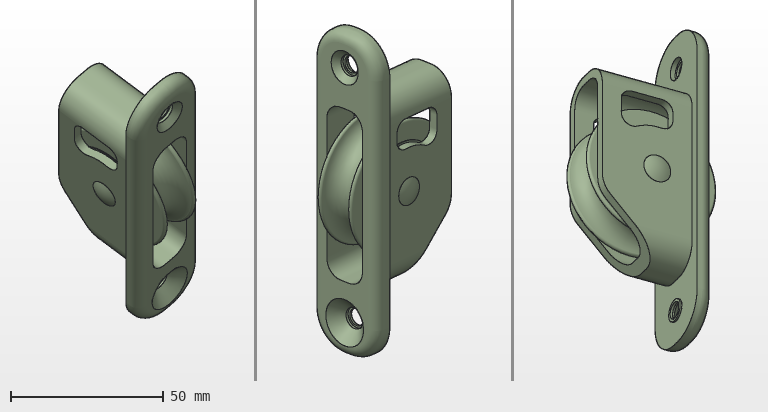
import cadquery as cq


PLATE_HEIGHT = 118.0
PLATE_WIDTH = 29.5
PLATE_THICKNESS = 6.0
PLATE_CORNER_RADIUS = 13.5
PLATE_FRONT_RADIUS = 4.0
PLATE_BACK_X = 13.0
PLATE_FRONT_X = PLATE_BACK_X + PLATE_THICKNESS

SCREW_Z = 46.5
SCREW_DIAMETER = 6.0
COLLAR_DIAMETER = 8.0
SOCKET_DEPTH = 1.8
COLLAR_HEIGHT = 0.6
SCREW_BORE_LENGTH = 0.9
RELIEF_DIAMETER = 7.5
RELIEF_LENGTH = 1.0

HOUSING_HEIGHT = 69.5
HOUSING_WIDTH = 22.5
HOUSING_WALL = 3.25
HOUSING_OUTER_RADIUS = 9.25
HOUSING_INNER_RADIUS = HOUSING_OUTER_RADIUS - HOUSING_WALL
HOUSING_BACK_X = -20.5
CAVITY_WIDTH = HOUSING_WIDTH - 2 * HOUSING_WALL
CAVITY_HEIGHT = HOUSING_HEIGHT - 2 * HOUSING_WALL

BEVEL_SIZE = 21.5
BEVEL_CORNER_RADIUS = 10.0

WHEEL_Z = -1.5
WHEEL_DIAMETER = 48.0
WHEEL_WIDTH = 15.5
RIM_THICKNESS = 1.8
GROOVE_DIAMETER = 36.0
HUB_DIAMETER = 33.4

WINDOW_BACK_X = -13.4
WINDOW_FRONT_X = 5.8
WINDOW_TOP_Z = HOUSING_HEIGHT / 2 - HOUSING_OUTER_RADIUS
WINDOW_LOWER_RADIUS = 16.0
WINDOW_CORNER_RADIUS = 4.0

RIVET_DIAMETER = 10.0
RIVET_HEIGHT = 1.15


def oblong_bar(width, height, corner_radius, start_x, end_x):
    """Rounded rectangle centred on the X axis, running from start_x to end_x."""
    bar = cq.Workplane("YZ", origin=(start_x, 0, 0)).rect(width, height).extrude(end_x - start_x)
    return bar.edges("|X").fillet(corner_radius)


def rod_along_x(diameter, z, start_x, end_x):
    return cq.Workplane("YZ", origin=(start_x, 0, z)).circle(diameter / 2).extrude(end_x - start_x)


def countersink(z, start_x):
    """90 degree cone that widens from the relief diameter to the plate front."""
    start_radius = RELIEF_DIAMETER / 2
    depth = PLATE_FRONT_X - start_x
    cone = cq.Solid.makeCone(
        start_radius, start_radius + depth, depth, pnt=cq.Vector(start_x, 0, z), dir=cq.Vector(1, 0, 0)
    )
    return cq.Workplane(cone)


def make_plate():
    plate = oblong_bar(PLATE_WIDTH, PLATE_HEIGHT, PLATE_CORNER_RADIUS, PLATE_BACK_X, PLATE_FRONT_X)
    plate = plate.faces(">X").edges().fillet(PLATE_FRONT_RADIUS)

    socket = rod_along_x(COLLAR_DIAMETER, SCREW_Z, PLATE_BACK_X, PLATE_BACK_X + SOCKET_DEPTH)
    collar = rod_along_x(COLLAR_DIAMETER, -SCREW_Z, PLATE_BACK_X - COLLAR_HEIGHT, PLATE_BACK_X)
    plate = plate.cut(socket).union(collar)

    for z, bore_start_x in (
        (SCREW_Z, PLATE_BACK_X + SOCKET_DEPTH),
        (-SCREW_Z, PLATE_BACK_X - COLLAR_HEIGHT),
    ):
        relief_start_x = bore_start_x + SCREW_BORE_LENGTH
        countersink_start_x = relief_start_x + RELIEF_LENGTH
        bore = rod_along_x(SCREW_DIAMETER, z, bore_start_x, relief_start_x)
        relief = rod_along_x(RELIEF_DIAMETER, z, relief_start_x, countersink_start_x)
        plate = plate.cut(bore).cut(relief).cut(countersink(z, countersink_start_x))
    return plate


def make_bevelled_side():
    """Side shape of the housing, as a slab as wide as the housing."""
    top = HOUSING_HEIGHT / 2
    slab = (
        cq.Workplane("XZ")
        .moveTo(HOUSING_BACK_X, top)
        .lineTo(PLATE_BACK_X, top)
        .lineTo(PLATE_BACK_X, -top)
        .lineTo(HOUSING_BACK_X + BEVEL_SIZE, -top)
        .lineTo(HOUSING_BACK_X, -top + BEVEL_SIZE)
        .close()
        .extrude(HOUSING_WIDTH / 2, both=True)
    )
    bevel_corner = cq.NearestToPointSelector((HOUSING_BACK_X, 0, -top + BEVEL_SIZE))
    return slab.edges("|Y").edges(bevel_corner).fillet(BEVEL_CORNER_RADIUS)


def make_window():
    """Cutter through both cheeks above the wheel hub."""
    length = WINDOW_FRONT_X - WINDOW_BACK_X
    block = (
        cq.Workplane("XZ", origin=(WINDOW_BACK_X, 0, WHEEL_Z))
        .rect(length, WINDOW_TOP_Z - WHEEL_Z, centered=False)
        .extrude(HOUSING_WIDTH / 2, both=True)
    )
    lower_disc = (
        cq.Workplane("XZ", origin=(0, 0, WHEEL_Z))
        .circle(WINDOW_LOWER_RADIUS)
        .extrude(HOUSING_WIDTH / 2, both=True)
    )
    return block.cut(lower_disc).edges("|Y").fillet(WINDOW_CORNER_RADIUS)


def make_housing():
    body = oblong_bar(HOUSING_WIDTH, HOUSING_HEIGHT, HOUSING_OUTER_RADIUS, HOUSING_BACK_X, PLATE_BACK_X)
    return body.intersect(make_bevelled_side()).cut(make_window())


def make_cavity():
    """Opening for the wheel, through the housing and the face plate."""
    return oblong_bar(CAVITY_WIDTH, CAVITY_HEIGHT, HOUSING_INNER_RADIUS, HOUSING_BACK_X, PLATE_FRONT_X)


def make_wheel():
    """Wheel with full-round rims, a round groove and a hub reaching both cheeks."""
    rim_round = RIM_THICKNESS / 2
    rim_radius = WHEEL_DIAMETER / 2
    shoulder_radius = rim_radius - rim_round
    side_y = WHEEL_WIDTH / 2
    rim_y = side_y - rim_round
    groove_y = side_y - RIM_THICKNESS
    hub_radius = HUB_DIAMETER / 2
    hub_y = CAVITY_WIDTH / 2
    profile = (
        cq.Workplane("XY", origin=(0, 0, WHEEL_Z))
        .moveTo(0, -hub_y)
        .lineTo(hub_radius, -hub_y)
        .lineTo(hub_radius, -side_y)
        .lineTo(shoulder_radius, -side_y)
        .threePointArc((rim_radius, -rim_y), (shoulder_radius, -groove_y))
        .threePointArc((GROOVE_DIAMETER / 2, 0), (shoulder_radius, groove_y))
        .threePointArc((rim_radius, rim_y), (shoulder_radius, side_y))
        .lineTo(hub_radius, side_y)
        .lineTo(hub_radius, hub_y)
        .lineTo(0, hub_y)
        .close()
    )
    return profile.revolve(360, (0, 0, 0), (0, 1, 0))


def make_rivet():
    """Axle rivet across the housing with a spherical dome at each end."""
    radius = RIVET_DIAMETER / 2
    cheek_y = HOUSING_WIDTH / 2
    tip_y = cheek_y + RIVET_HEIGHT
    dome_radius = (radius**2 + RIVET_HEIGHT**2) / (2 * RIVET_HEIGHT)
    halves = []
    for side in (-1, 1):
        rod = cq.Workplane("XZ", origin=(0, 0, WHEEL_Z)).circle(radius).extrude(-side * tip_y)
        ball_y = side * (tip_y - dome_radius)
        ball = cq.Workplane("XY").sphere(dome_radius).translate((0, ball_y, WHEEL_Z))
        halves.append(rod.intersect(ball))
    return halves[0].union(halves[1])


frame = make_plate().union(make_housing()).cut(make_cavity())
result = frame.union(make_wheel()).union(make_rivet())